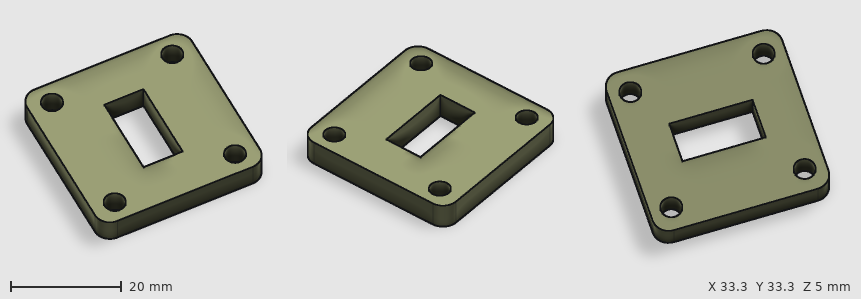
import cadquery as cq

side = 33.3
thickness = 5.0
corner_radius = 3.0

window_length = 15.8
window_width = 7.9

hole_diameter = 4.0
hole_spacing_x = 25.25
hole_spacing_y = 24.28


def make_plate():
    plate = cq.Workplane("XY").box(side, side, thickness, centered=(True, True, False))
    return plate.edges("|Z").fillet(corner_radius)


def cut_window(body):
    return body.faces(">Z").workplane().rect(window_length, window_width).cutThruAll()


def cut_bolt_holes(body):
    centres = body.faces(">Z").workplane().rect(hole_spacing_x, hole_spacing_y, forConstruction=True)
    return centres.vertices().hole(hole_diameter)


result = cut_bolt_holes(cut_window(make_plate()))